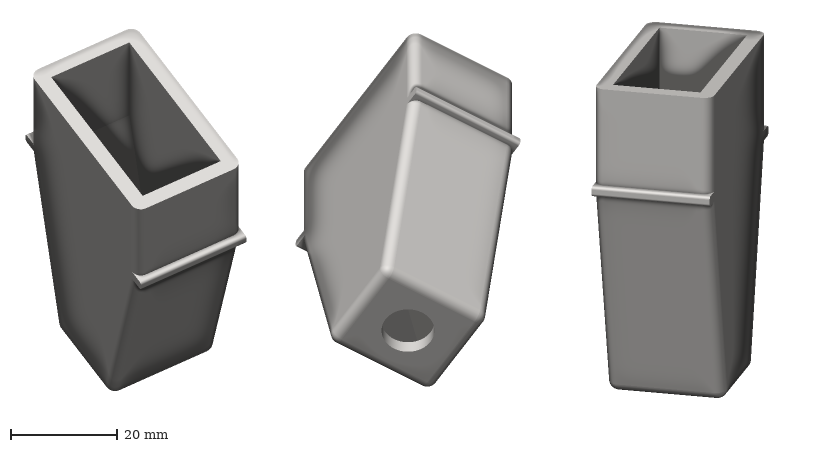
import cadquery as cq

height = 63.5
depth = 23.0
neck_width = 40.0
base_width = neck_width / 2
wall = 3.0
corner_radius = 2.0

collar_width = 43.0
collar_thickness = 2.0
collar_edge_radius = 0.6
neck_height = 19.1

cavity_floor_width = 15.2
outlet_diameter = 10.0

collar_top = height - neck_height
collar_bottom = collar_top - collar_thickness


def funnel(top_width, bottom_width, thickness, bottom):
    """Straight-sided neck above a taper, extruded symmetrically along Y."""
    outline = [
        (-bottom_width / 2, bottom),
        (bottom_width / 2, bottom),
        (top_width / 2, collar_bottom),
        (top_width / 2, height),
        (-top_width / 2, height),
        (-top_width / 2, collar_bottom),
    ]
    return cq.Workplane("XZ").polyline(outline).close().extrude(thickness / 2, both=True)


def outer_body():
    """Solid funnel with every edge rounded except the rim and the bend lines."""
    body = funnel(neck_width, base_width, depth, 0)
    long_edges = body.edges("not(#Z or |Y)")
    base_edges = body.faces("<Z").edges()
    return body.newObject(long_edges.vals() + base_edges.vals()).fillet(corner_radius)


def collar():
    """Flat band around the body with rounded outer end edges."""
    band = cq.Workplane("XY").workplane(offset=collar_bottom)
    band = band.rect(collar_width, depth).extrude(collar_thickness)
    return band.faces("<X or >X").edges("|Y").fillet(collar_edge_radius)


cavity = funnel(neck_width - 2 * wall, cavity_floor_width, depth - 2 * wall, wall)
outlet = cq.Workplane("XY").circle(outlet_diameter / 2).extrude(2 * wall)

result = outer_body().union(collar()).cut(cavity).cut(outlet)